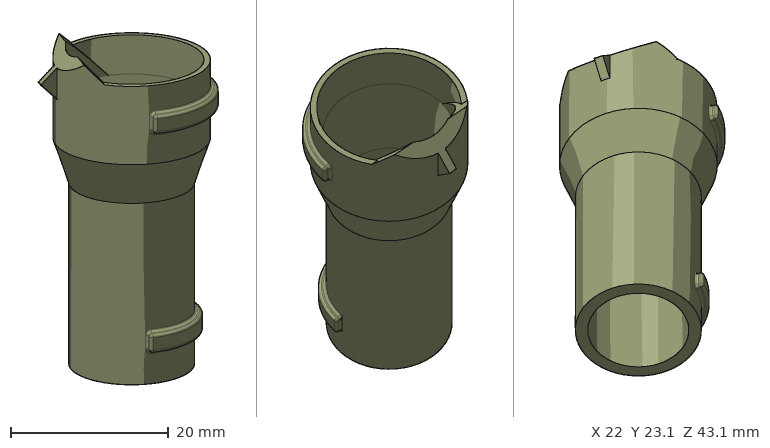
import cadquery as cq
import math

barrel_radius = 16.0 / 2
socket_radius = 20.0 / 2
bore_radius = 12.8 / 2
wall = barrel_radius - bore_radius
socket_bore_radius = socket_radius - wall
shoulder_bottom = 24.5
shoulder_top = 30.45
rim_height = 41.0

mouth_depth = 5.0
mouth_radius = 9.2
mouth_bottom = rim_height - mouth_depth

bore_cone_length = 10.0

peak_height = 43.1
tooth_step = peak_height - rim_height
tooth_depth = 17.25
rib_width = 1.2

band_thickness = 1.0
band_height = 2.5
band_fillet = 0.4
upper_band_height = 35.95
lower_band_height = 5.75


def tube_blank():
    outline = [
        (0, 0),
        (barrel_radius, 0),
        (barrel_radius, shoulder_bottom),
        (socket_radius, shoulder_top),
        (socket_radius, peak_height),
        (0, peak_height),
    ]
    blank = cq.Workplane("XZ").polyline(outline).close().revolve(360, (0, 0), (0, 1))
    return blank.rotate((0, 0, 0), (0, 0, 1), -90)


def tube_bore():
    outline = [
        (0, 0),
        (bore_radius, 0),
        (bore_radius, mouth_bottom - bore_cone_length),
        (socket_bore_radius, mouth_bottom),
        (socket_bore_radius, peak_height),
        (0, peak_height),
    ]
    return cq.Workplane("XZ").polyline(outline).close().revolve(360, (0, 0), (0, 1))


def half_band(inner_radius, center_height):
    """Half ring on the +Y side with rounded outer edges and end corners."""
    outer_radius = inner_radius + band_thickness
    bottom = center_height - band_height / 2
    ring = (
        cq.Workplane("XY", origin=(0, 0, bottom))
        .circle(outer_radius)
        .circle(inner_radius - wall / 2)
        .extrude(band_height)
        .rotate((0, 0, 0), (0, 0, 1), -90)
    )
    keep = cq.Workplane("XY", origin=(0, 0, bottom)).rect(4 * outer_radius, 2 * outer_radius)
    keep = keep.extrude(band_height).translate((0, outer_radius, 0))
    band = ring.intersect(keep)
    outer_rim = band.faces("%CYLINDER").faces(cq.selectors.AreaNthSelector(-1)).edges()
    end_corners = band.faces("<Y").edges("|X")
    return outer_rim.add(end_corners).fillet(band_fillet)


def foot_edges(body, radius, center_height):
    """Edges where a band meets the wall it stands on."""
    reach = band_height / 2 + 0.05

    def at_foot(edge):
        points = (edge.startPoint(), edge.positionAt(0.5), edge.endPoint())
        on_wall = all(abs(math.hypot(p.x, p.y) - radius) < 0.005 for p in points)
        near_band = all(abs(p.z - center_height) < reach and p.y > -0.005 for p in points)
        return on_wall and near_band

    return body.edges().filter(at_foot)


def lower_band_trim():
    """Removes the foot fillet in front of the lower band, so its ends are flat."""
    trim_height = 2 * band_height
    trim_radius = 2 * barrel_radius
    ring = cq.Workplane("XY").circle(trim_radius).circle(barrel_radius).extrude(trim_height)
    front = cq.Workplane("XY").rect(2 * trim_radius, trim_radius).extrude(trim_height)
    front = front.translate((0, -trim_radius / 2, 0))
    return ring.intersect(front).translate((0, 0, lower_band_height - trim_height / 2))


def tilted_block(width):
    """Square-cornered block, turned 45 degrees, with its top corner at the tooth peak."""
    peak_y = -socket_radius + tooth_step
    outline = [
        (peak_y, peak_height),
        (peak_y - 2 * tooth_step, peak_height - 2 * tooth_step),
        (peak_y - 2 * tooth_step + tooth_depth, peak_height - 2 * tooth_step - tooth_depth),
        (peak_y + tooth_depth, peak_height - tooth_depth),
    ]
    return cq.Workplane("YZ").polyline(outline).close().extrude(width / 2, both=True)


def mouth_cut():
    """Flared mouth and everything above the rim, sparing the tooth."""
    outline = [
        (0, mouth_bottom),
        (socket_bore_radius, mouth_bottom),
        (mouth_radius, rim_height),
        (2 * socket_radius, rim_height),
        (2 * socket_radius, 2 * peak_height),
        (0, 2 * peak_height),
    ]
    opening = cq.Workplane("XZ").polyline(outline).close().revolve(360, (0, 0), (0, 1))
    return opening.cut(tilted_block(4 * socket_radius))


def rib():
    core = cq.Workplane("XY").circle(socket_radius - wall / 2).extrude(peak_height)
    front = cq.Workplane("XY").rect(rib_width, 2 * socket_radius).extrude(peak_height)
    front = front.translate((0, -2 * socket_radius + wall, 0))
    return tilted_block(rib_width).intersect(front).cut(core)


body = tube_blank()
body = body.union(half_band(socket_radius, upper_band_height))
body = body.union(half_band(barrel_radius, lower_band_height))
body = foot_edges(body, socket_radius, upper_band_height).fillet(band_fillet)
body = foot_edges(body, barrel_radius, lower_band_height).fillet(band_fillet)
body = body.cut(lower_band_trim())
result = body.cut(tube_bore()).cut(mouth_cut()).union(rib())